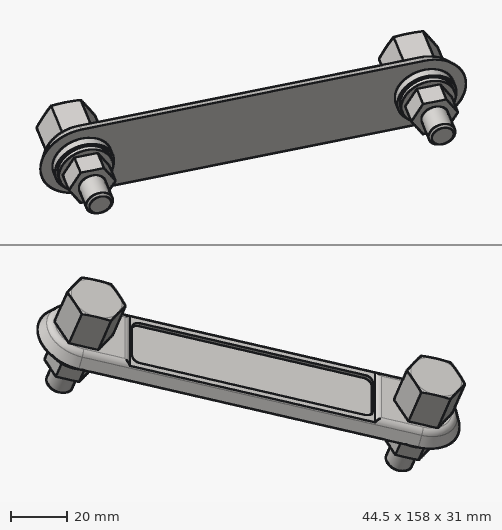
import cadquery as cq
import math

length = 158.0
width = 31.0
bolt_offset = (length - width) / 2
front_x = 15.3
back_x = 21.0
front_inset = 3.0
edge_radius = 3.0

panel_x = 16.3
panel_half_length = 45.8
pocket_length = 90.0
pocket_width = 20.5
pocket_corner_radius = 3.0
pocket_depth = 1.5

head_flats = 19.0
head_chamfer = 0.3
large_washer_diameter = 22.0
large_washer_end = 24.3
small_washer_diameter = 20.0
small_washer_end = 26.2
nut_flats = 15.0
nut_end = 34.3
stud_diameter = 10.0
stud_end = 44.5
stud_chamfer = 1.0


def yz_plane(x):
    """Sketch plane facing +X at the given X position."""
    return cq.Workplane("YZ", origin=(x, 0, 0))


def across_corners(flats):
    return flats / math.cos(math.pi / 6)


def disc(diameter, start, end):
    return yz_plane(start).circle(diameter / 2).extrude(end - start)


def hexagon(flats, start, end):
    """Hexagonal prism with two corners on the Y axis."""
    return yz_plane(start).polygon(6, across_corners(flats)).extrude(end - start)


def make_plate():
    thickness = back_x - front_x
    taper = math.degrees(math.atan2(front_inset, thickness))
    plate = (
        cq.Workplane("ZY", origin=(back_x, 0, 0))
        .slot2D(length, width, 90)
        .extrude(thickness, taper=taper)
    )
    return plate.faces("<X").edges().fillet(edge_radius)


def make_panel_cutter():
    """Block that lowers the middle and leaves rounded shoulders at its ends."""
    depth = panel_x - front_x
    drop = edge_radius - depth
    shoulder_run = math.sqrt(edge_radius**2 - drop**2)
    shoulder_y = panel_half_length + shoulder_run
    half_angle = math.asin(shoulder_run / edge_radius) / 2
    arc_x = front_x + edge_radius * (1 - math.cos(half_angle))
    arc_y = shoulder_y - edge_radius * math.sin(half_angle)
    return (
        cq.Workplane("XY")
        .moveTo(front_x, -shoulder_y)
        .threePointArc((arc_x, -arc_y), (panel_x, -panel_half_length))
        .lineTo(panel_x, panel_half_length)
        .threePointArc((arc_x, arc_y), (front_x, shoulder_y))
        .close()
        .extrude(width / 2, both=True)
    )


def make_pocket_cutter():
    pocket = yz_plane(panel_x).rect(pocket_length, pocket_width).extrude(pocket_depth)
    return pocket.edges("|X").fillet(pocket_corner_radius)


def make_head():
    """Hexagon head with its corners slightly bevelled at the outer face."""
    bevel_blank = disc(across_corners(head_flats), 0, front_x)
    corner_reach = (across_corners(head_flats) - head_flats) / 2
    bevel_blank = bevel_blank.faces("<X").chamfer(head_chamfer, corner_reach)
    return hexagon(head_flats, 0, front_x).intersect(bevel_blank)


def make_fastener():
    stud = disc(stud_diameter, front_x, stud_end).faces(">X").chamfer(stud_chamfer)
    return (
        make_head()
        .union(disc(large_washer_diameter, back_x, large_washer_end))
        .union(disc(small_washer_diameter, large_washer_end, small_washer_end))
        .union(hexagon(nut_flats, small_washer_end, nut_end))
        .union(stud)
    )


result = make_plate().cut(make_panel_cutter()).cut(make_pocket_cutter())
for bolt_y in (-bolt_offset, bolt_offset):
    result = result.union(make_fastener().translate((0, bolt_y, 0)))
result = result.translate((-stud_end / 2, 0, 0))